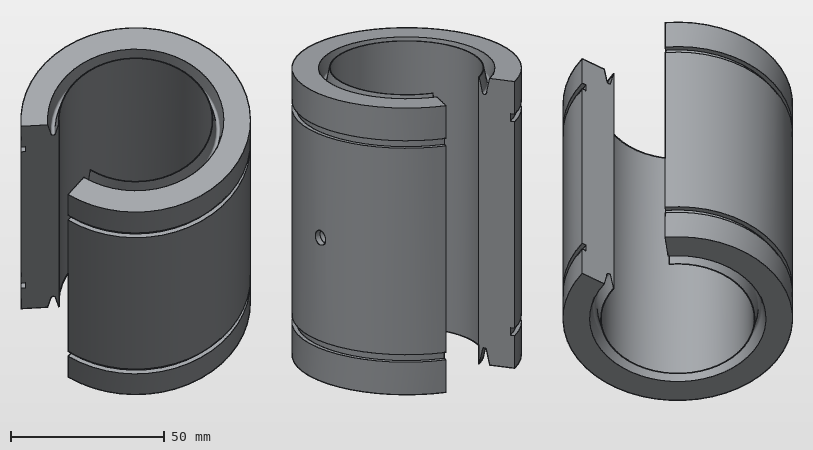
import cadquery as cq
import math

length = 100.0
outer_radius = 37.5
bore_radius = 25.0
opening_angle = 50.0

ring_groove_radius = 36.0
ring_groove_width = 2.6
ring_groove_inset = 11.4

seal_outer_radius = 28.8
seal_inner_radius = 25.2
seal_depth = 5.8
seal_bottom_centre_radius = 27.0
seal_bottom_round = 0.7

hole_diameter = 5.0
hole_depth = 2.5
hole_y = 2.5
drill_point_angle = 118.0

half_length = length / 2


def make_ring(outer, inner, bottom, height):
    return cq.Workplane("XY").workplane(offset=bottom).circle(outer).circle(inner).extrude(height)


def make_seal_groove():
    """Revolved cutter for the groove in the +Z end."""
    bottom = half_length - seal_depth
    round_centre = bottom + seal_bottom_round
    return (
        cq.Workplane("XZ")
        .moveTo(seal_inner_radius, half_length)
        .lineTo(seal_bottom_centre_radius - seal_bottom_round, round_centre)
        .threePointArc(
            (seal_bottom_centre_radius, bottom),
            (seal_bottom_centre_radius + seal_bottom_round, round_centre),
        )
        .lineTo(seal_outer_radius, half_length)
        .close()
        .revolve(360, (0, 0, 0), (0, 1, 0))
    )


def make_opening():
    """Wedge from the axis past the -Y side, along the full length."""
    reach = 2 * outer_radius
    half_width = reach * math.tan(math.radians(opening_angle / 2))
    return (
        cq.Workplane("XY")
        .polyline([(0, 0), (-half_width, -reach), (half_width, -reach)])
        .close()
        .extrude(half_length, both=True)
    )


def make_locating_hole():
    """Drill along +X, starting level with the -X side of the body."""
    radius = hole_diameter / 2
    tip_length = radius / math.tan(math.radians(drill_point_angle / 2))
    start = cq.Vector(-outer_radius, hole_y, 0)
    shoulder = cq.Vector(-outer_radius + hole_depth, hole_y, 0)
    inward = cq.Vector(1, 0, 0)
    shank = cq.Solid.makeCylinder(radius, hole_depth, start, inward)
    tip = cq.Solid.makeCone(radius, 0, tip_length, shoulder, inward)
    return cq.Workplane(shank.fuse(tip))


body = make_ring(outer_radius, bore_radius, -half_length, length)

ring_groove = make_ring(
    outer_radius, ring_groove_radius, half_length - ring_groove_inset - ring_groove_width, ring_groove_width
)
seal_groove = make_seal_groove()
for end_feature in (ring_groove, seal_groove):
    body = body.cut(end_feature).cut(end_feature.mirror("XY"))

result = body.cut(make_opening()).cut(make_locating_hole())